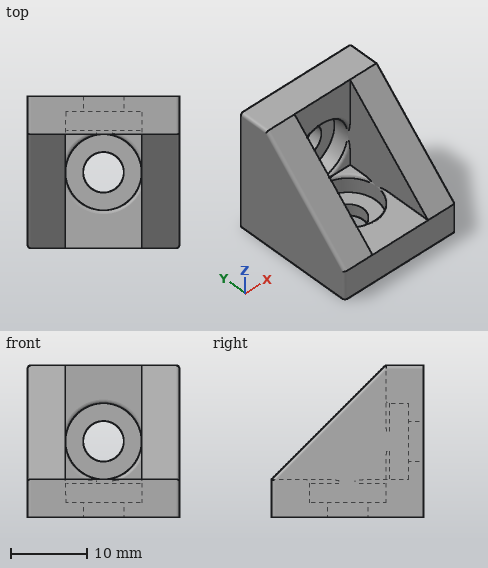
import cadquery as cq

side = 20.0
plate = 5.0
pocket_width = 10.0
edge_radius = 0.5
bolt_diameter = 5.3
head_diameter = 10.0
head_depth = 3.0
rim_radius = 0.5

middle = side / 2
back_face = side - plate


def bracket_body():
    """Sloped block with both side outlines rounded, except along the mounting faces."""
    body = (
        cq.Workplane("YZ")
        .polyline([(0, 0), (side, 0), (side, side), (back_face, side), (0, plate)])
        .close()
        .extrude(side)
    )
    front_edges = body.faces("<Y").edges("<X or >X")
    top_edges = body.faces(">Z").edges("<X or >X")
    slope_edges = body.faces(cq.selectors.DirectionMinMaxSelector(cq.Vector(0, -1, 1), True))
    slope_edges = slope_edges.edges("<X or >X")
    return body.newObject(front_edges.vals() + top_edges.vals() + slope_edges.vals()).fillet(edge_radius)


def pocket():
    """Open space above the base, in front of the back plate and between the side walls."""
    return cq.Workplane("XY").box(pocket_width, back_face, side - plate, centered=False).translate(
        (middle - pocket_width / 2, 0, plate)
    )


def base_bolt_hole():
    """Counterbored hole through the base; its flared rim stops at the pocket walls."""
    head_radius = head_diameter / 2
    seat = plate - head_depth
    rim_start = plate - rim_radius
    arc_drop = rim_radius * 0.5 ** 0.5
    arc_middle = (head_radius + rim_radius - arc_drop, rim_start + arc_drop)
    flared_head = (
        cq.Workplane("XZ")
        .moveTo(0, seat)
        .lineTo(head_radius, seat)
        .lineTo(head_radius, rim_start)
        .threePointArc(arc_middle, (head_radius + rim_radius, plate))
        .lineTo(0, plate)
        .close()
        .revolve(360, (0, 0), (0, 1))
        .translate((middle, middle, 0))
    )
    pocket_footprint = cq.Workplane("XY").box(pocket_width, back_face, plate, centered=False).translate(
        (middle - pocket_width / 2, 0, 0)
    )
    bolt = cq.Workplane("XY").center(middle, middle).circle(bolt_diameter / 2).extrude(plate)
    return flared_head.intersect(pocket_footprint).union(bolt)


base_hole = base_bolt_hole()
back_hole = base_hole.rotate((0, middle, middle), (1, middle, middle), 90).mirror(
    "XY", (0, 0, middle)
)

result = bracket_body().cut(pocket()).cut(base_hole).cut(back_hole)